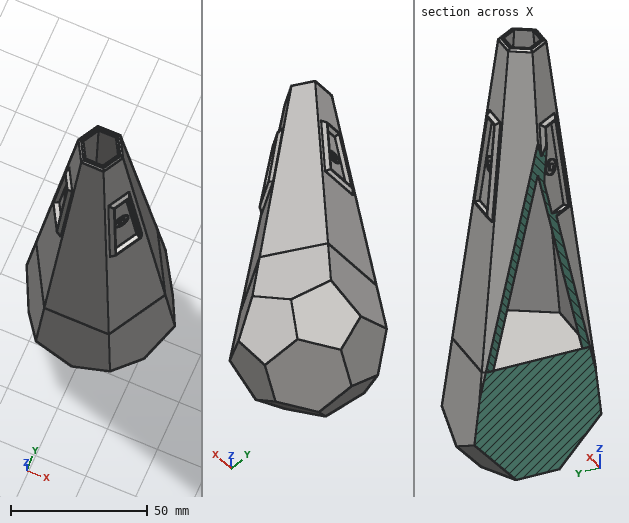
import cadquery as cq
import math

SIDES = 6
HALF_SECTOR = math.radians(180 / SIDES)

height = 182.0
joint_height = 50.2
top_across_flats = 15.3
joint_across_flats = 44.8

foot_across_flats = 28.8
facet_slope = 0.75

wall = 1.6
rim_chamfer = 0.82

frame_angles = (90, 210, 330)
frame_bottom = 110.7
frame_top = 151.2
frame_margin = 1.6
frame_rise = 1.5
frame_bevel = frame_rise
frame_rim = 0.4
panel_depth = 0.7
boss_diameter = 6.0
boss_height = 0.4
hole_diameter = 2.7

flat_slope = (joint_across_flats - top_across_flats) / 2 / (height - joint_height)
flat_tilt = math.atan(flat_slope)
frame_middle = (frame_bottom + frame_top) / 2
frame_half_length = (frame_top - frame_bottom) / 2 / math.cos(flat_tilt)
opening_inset = frame_bevel + frame_rim


def flat_distance(z):
    """Distance from the axis to the outer flats at height z."""
    return top_across_flats / 2 + flat_slope * (height - z)


def hexagonal_frustum(low, high, turn=0):
    """Frustum between two (height, distance to the flats) pairs, turned about Z by degrees."""
    sections = []
    for z, apothem in (low, high):
        corner_circle = 2 * apothem / math.cos(HALF_SECTOR)
        plane = cq.Workplane("XY", origin=(0, 0, z)).transformed(rotate=(0, 0, turn))
        sections.append(plane.polygon(SIDES, corner_circle).val())
    return cq.Workplane(cq.Solid.makeLoft(sections, True))


def tapered_body(z_low, z_high, inset=0.0):
    """Stretch of the tapered body, optionally with its flats moved inwards."""
    low = (z_low, flat_distance(z_low) - inset)
    high = (z_high, flat_distance(z_high) - inset)
    return hexagonal_frustum(low, high)



def make_base():
    foot = foot_across_flats / 2
    facets = hexagonal_frustum((0, foot), (joint_height, foot + facet_slope * joint_height), turn=30)
    return tapered_body(0, joint_height).intersect(facets)



def frame_outline(inset, rise):
    """Trapezoid that follows the edges of the flat, shrunk by inset and lifted by rise."""
    half_flat = flat_distance(frame_middle) * math.tan(HALF_SECTOR)
    side_slope = math.sin(flat_tilt) * math.tan(HALF_SECTOR)
    side_offset = (frame_margin + inset) * math.hypot(1, side_slope)
    half_length = frame_half_length - inset
    half_bottom = half_flat + side_slope * half_length - side_offset
    half_top = half_flat - side_slope * half_length - side_offset
    corners = [
        cq.Vector(-half_bottom, -half_length, rise),
        cq.Vector(half_bottom, -half_length, rise),
        cq.Vector(half_top, half_length, rise),
        cq.Vector(-half_top, half_length, rise),
    ]
    return cq.Wire.makePolygon(corners, close=True)


def trapezoid_block(low_outline, high_outline):
    return cq.Workplane(cq.Solid.makeLoft([low_outline, high_outline], True))


def make_frame():
    block = trapezoid_block(frame_outline(0, 0), frame_outline(frame_bevel, frame_rise))
    opening = trapezoid_block(frame_outline(opening_inset, 0), frame_outline(opening_inset, frame_rise))
    return block.cut(opening)


def make_panel_pocket():
    return trapezoid_block(frame_outline(opening_inset, -panel_depth), frame_outline(opening_inset, 0))


def make_boss():
    return cq.Workplane("XY", origin=(0, 0, -panel_depth)).circle(boss_diameter / 2).extrude(boss_height)


def make_boss_hole():
    """Drill that starts at the top of the boss and runs into the hollow."""
    boss_top = boss_height - panel_depth
    return cq.Workplane("XY", origin=(0, 0, boss_top)).circle(hole_diameter / 2).extrude(-2 * wall)


def on_flat(shape, angle):
    """Places a frame detail on the flat that faces the given angle about Z."""
    turn = math.radians(angle)
    distance = flat_distance(frame_middle)
    across = (-math.sin(turn), math.cos(turn), 0)
    outward = (
        math.cos(turn) * math.cos(flat_tilt),
        math.sin(turn) * math.cos(flat_tilt),
        math.sin(flat_tilt),
    )
    origin = (distance * math.cos(turn), distance * math.sin(turn), frame_middle)
    return cq.Workplane(shape.val().moved(cq.Location(cq.Plane(origin, across, outward))))



def make_housing():
    body = tapered_body(joint_height, height).faces(">Z").edges().chamfer(rim_chamfer)
    body = body.cut(tapered_body(joint_height, height, inset=wall))
    for angle in frame_angles:
        body = body.cut(on_flat(make_panel_pocket(), angle))
        body = body.union(on_flat(make_boss(), angle))
        body = body.cut(on_flat(make_boss_hole(), angle))
    for angle in frame_angles:
        body = body.union(on_flat(make_frame(), angle), clean=False)
    return body


base = make_base()
housing = make_housing()
result = cq.Compound.makeCompound([base.val(), housing.val()])